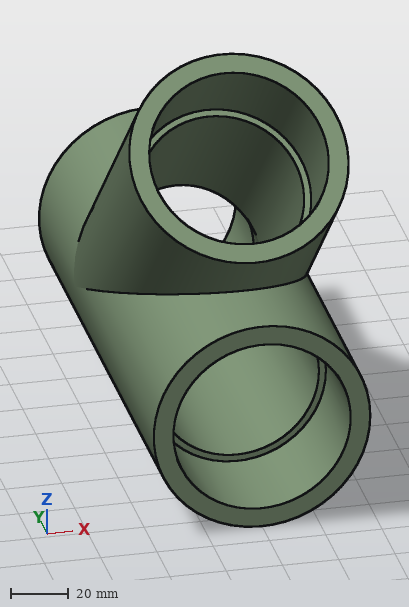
import cadquery as cq

outer_diameter = 77.0
socket_diameter = 63.0
bore_diameter = 58.0
socket_depth = 38.2

run_length = 177.0

branch_angle = 45.0
branch_length = 122.1
junction_y = 33.5


def cylinder(plane, diameter, length):
    """Solid cylinder starting at the plane origin and following its normal."""
    return cq.Workplane(plane).circle(diameter / 2).extrude(length)


def end_plane(start, distance):
    """Plane at a distance along the start plane's normal, facing back inwards."""
    return cq.Plane(
        origin=start.origin + start.zDir * distance,
        xDir=start.xDir,
        normal=start.zDir * -1,
    )


run_start = cq.Plane(origin=(0, run_length / 2, 0), xDir=(1, 0, 0), normal=(0, -1, 0))
run_end = end_plane(run_start, run_length)
branch_start = cq.Plane(
    origin=(0, junction_y, 0), xDir=(1, 0, 0), normal=(0, -1, 0)
).rotated((-branch_angle, 0, 0))
branch_end = end_plane(branch_start, branch_length)

run_body = cylinder(run_start, outer_diameter, run_length)
branch_body = cylinder(branch_start, outer_diameter, branch_length)
result = run_body.union(branch_body)

result = result.cut(cylinder(run_start, bore_diameter, run_length))
result = result.cut(cylinder(branch_start, bore_diameter, branch_length))

for mouth in (run_start, run_end, branch_end):
    result = result.cut(cylinder(mouth, socket_diameter, socket_depth))